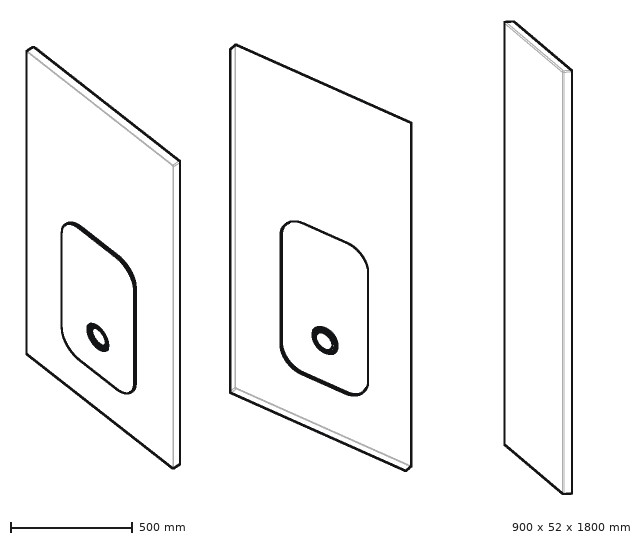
import cadquery as cq
SLAB_WIDTH = 900.0
SLAB_HEIGHT = 1800.0
TOTAL_DEPTH = 52.0
PANEL_DEPTH = 10.0
SLAB_DEPTH = TOTAL_DEPTH - PANEL_DEPTH
EDGE_RADIUS = 5.0
FRONT_EDGE_RADIUS = 2.0

PANEL_WIDTH = 441.0
PANEL_HEIGHT = 781.0
PANEL_CENTER_Z = -280.0
PANEL_CORNER_RADIUS = 108.0

KNOB_CENTER_Z = -452.0
KNOB_BASE_RADIUS = 63.9
KNOB_TOP_RADIUS = 54.0
KNOB_HEIGHT = 5.0
DISH_RADIUS = 43.0
DISH_DEPTH = 2.0


def front_plane(center_z):
    """Sketch plane on the slab's front face; extrusions grow toward -Y."""
    return cq.Workplane("XZ").center(0, center_z)


def make_slab():
    board = cq.Workplane("XY").box(SLAB_WIDTH, SLAB_DEPTH, SLAB_HEIGHT, centered=(True, False, True))
    rounded = board.edges("|Y or >Y").fillet(EDGE_RADIUS)
    return rounded.faces("<Y").edges().fillet(FRONT_EDGE_RADIUS)


def make_panel():
    plate = front_plane(PANEL_CENTER_Z).rect(PANEL_WIDTH, PANEL_HEIGHT).extrude(PANEL_DEPTH)
    plate = plate.edges("|Y").fillet(PANEL_CORNER_RADIUS)
    knob_hole = front_plane(KNOB_CENTER_Z).circle(KNOB_BASE_RADIUS).extrude(PANEL_DEPTH)
    return plate.cut(knob_hole)


def make_knob():
    base = front_plane(KNOB_CENTER_Z).circle(KNOB_BASE_RADIUS)
    body = base.workplane(offset=KNOB_HEIGHT).circle(KNOB_TOP_RADIUS).loft()
    dish_floor = front_plane(KNOB_CENTER_Z).workplane(offset=KNOB_HEIGHT - DISH_DEPTH)
    dish = dish_floor.circle(DISH_RADIUS).extrude(DISH_DEPTH)
    return body.cut(dish)


slab = make_slab()
panel = make_panel()
knob = make_knob()

result = cq.Compound.makeCompound([slab.val(), panel.val(), knob.val()])